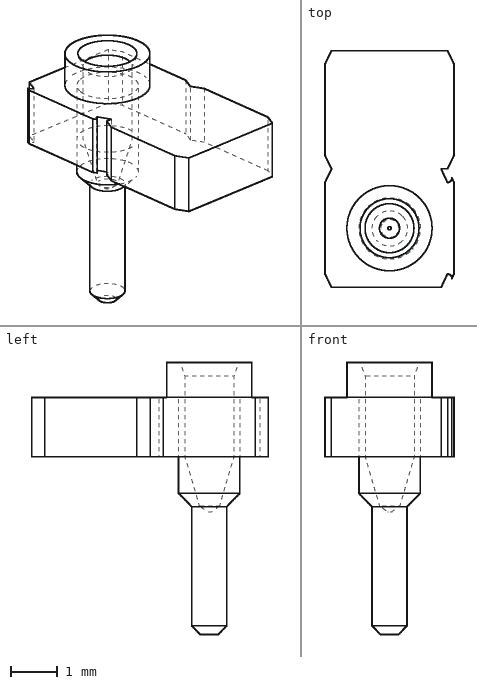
import cadquery as cq
import math


housing_width = 2.77
cell_length = 2.54
housing_bottom = 3.815
housing_top = 5.085
corner_x = 0.14
corner_y = 0.285
notch_depth = 0.275
notch_radius = 0.095

pin_height = 5.84
collar_diameter = 1.83
shank_diameter = 1.32
shank_bottom = 3.03
tail_diameter = 0.76
tail_top = 2.745
tip_diameter = 0.385
tip_height = 0.19

mouth_diameter = 1.27
mouth_depth = 0.29
bore_diameter = 1.05
bore_bottom = 3.815
funnel_diameter = 0.43
funnel_depth = 1.05
socket_end_diameter = 0.07
socket_end_depth = 0.13

half_width = housing_width / 2
cell_front = -cell_length / 2
cell_back = cell_length / 2
housing_back = cell_back + cell_length
funnel_bottom = bore_bottom - funnel_depth
socket_bottom = funnel_bottom - socket_end_depth


def make_notch(y_edge, inward):
    """Corner notch of the pin cell; inward is the Y direction into the cell."""
    arc_center_x = half_width - corner_x
    arc_center_depth = corner_y - notch_radius
    arc_end_x = arc_center_x + notch_radius
    arc_mid = notch_radius * math.sqrt(0.5)
    arc_end_depth = corner_y * notch_radius / corner_x
    return (
        cq.Workplane("XY", origin=(0, 0, housing_bottom))
        .moveTo(half_width - notch_depth, y_edge)
        .lineTo(arc_center_x, y_edge + inward * corner_y)
        .threePointArc(
            (arc_center_x + arc_mid, y_edge + inward * (arc_center_depth + arc_mid)),
            (arc_end_x, y_edge + inward * arc_end_depth),
        )
        .lineTo(arc_center_x, y_edge)
        .close()
        .extrude(housing_top - housing_bottom)
    )


def make_cell(y_front, y_back):
    """One block with its four vertical corners cut at a slant."""
    outline = [
        (-half_width + corner_x, y_front),
        (half_width - corner_x, y_front),
        (half_width, y_front + corner_y),
        (half_width, y_back - corner_y),
        (half_width - corner_x, y_back),
        (-half_width + corner_x, y_back),
        (-half_width, y_back - corner_y),
        (-half_width, y_front + corner_y),
    ]
    return (
        cq.Workplane("XY", origin=(0, 0, housing_bottom))
        .polyline(outline)
        .close()
        .extrude(housing_top - housing_bottom)
    )


def make_housing():
    """Two joined cells; the front one is notched and bored for the pin."""
    pin_cell = make_cell(cell_front, cell_back)
    pin_cell = pin_cell.cut(make_notch(cell_front, 1)).cut(make_notch(cell_back, -1))
    plain_cell = make_cell(cell_back, housing_back)
    pin_hole = (
        cq.Workplane("XY", origin=(0, 0, housing_bottom))
        .circle(shank_diameter / 2)
        .extrude(housing_top - housing_bottom)
    )
    return pin_cell.union(plain_cell).cut(pin_hole)


def make_pin():
    """Turned pin: its half section, socket included, revolved about Z."""
    half_section = [
        (0, 0),
        (tip_diameter / 2, 0),
        (tail_diameter / 2, tip_height),
        (tail_diameter / 2, tail_top),
        (shank_diameter / 2, shank_bottom),
        (shank_diameter / 2, housing_top),
        (collar_diameter / 2, housing_top),
        (collar_diameter / 2, pin_height),
        (mouth_diameter / 2, pin_height),
        (bore_diameter / 2, pin_height - mouth_depth),
        (bore_diameter / 2, bore_bottom),
        (funnel_diameter / 2, funnel_bottom),
        (socket_end_diameter / 2, socket_bottom),
        (0, socket_bottom),
    ]
    return cq.Workplane("XZ").polyline(half_section).close().revolve(360, (0, 0), (0, 1))


housing = make_housing()
pin = make_pin()

result = cq.Compound.makeCompound([housing.val(), pin.val()])